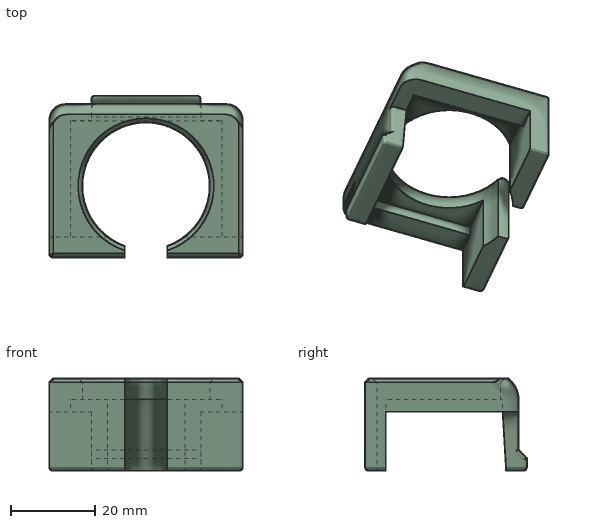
import cadquery as cq
import math

WIDTH = 46.0
HEIGHT = 22.0
FRONT_Y = -17.0
BACK_Y = 19.5
EDGE_SIZE = 1.0

BACK_CHAMFER = 2.5
BACK_BLEND_RADIUS = 6.0
BLEND_ANGLE = math.radians(45)
BACK_CORNER_RADIUS = 4.0

PLATE_THICKNESS = 5.0
WALL_THICKNESS = 5.0
SKIRT_HEIGHT = 8.0
BACK_WALL_THICKNESS = 4.0

BORE_RADIUS = 15.1
BORE_CHAMFER = 1.0
GAP_WIDTH = 10.0

CLIP_WIDTH = 26.0
CLIP_TIP_THICKNESS = 3.0
HOOK_REACH = 2.0
HOOK_LIP_HEIGHT = 3.0

PLATE_Z = HEIGHT - PLATE_THICKNESS
SKIRT_Z = HEIGHT - SKIRT_HEIGHT
LEG_BACK_Y = FRONT_Y + WALL_THICKNESS
CLIP_TIP_INNER = (BACK_Y - CLIP_TIP_THICKNESS, 0)
CLIP_ROOT_INNER = (BACK_Y - BACK_WALL_THICKNESS, PLATE_Z)
CAVITY_WIDTH = WIDTH - 2 * WALL_THICKNESS
BODY_MID_Y = (FRONT_Y + BACK_Y) / 2
BODY_DEPTH = BACK_Y - FRONT_Y


def block(width, y_min, y_max, z_min, z_max):
    """Box centred on X = 0 between the given Y and Z limits."""
    return (
        cq.Workplane("XY")
        .box(width, y_max - y_min, z_max - z_min, centered=(True, False, False))
        .translate((0, y_min, z_min))
    )


def side_profile(outline, width):
    """Close a YZ outline and extrude it symmetrically about X = 0."""
    return outline.close().extrude(width / 2, both=True)


def body_blank():
    """Solid block whose back top edge is a 45 degree chamfer blended into the back face."""
    half_angle = BLEND_ANGLE / 2
    tangent_length = BACK_BLEND_RADIUS * math.tan(half_angle)
    blend_start_z = HEIGHT - BACK_CHAMFER - tangent_length
    blend_center_y = BACK_Y - BACK_BLEND_RADIUS

    def blend_point(angle):
        return (
            blend_center_y + BACK_BLEND_RADIUS * math.cos(angle),
            blend_start_z + BACK_BLEND_RADIUS * math.sin(angle),
        )

    profile = (
        cq.Workplane("YZ")
        .moveTo(FRONT_Y, 0)
        .lineTo(BACK_Y, 0)
        .lineTo(BACK_Y, blend_start_z)
        .threePointArc(blend_point(half_angle), blend_point(BLEND_ANGLE))
        .lineTo(BACK_Y - BACK_CHAMFER, HEIGHT)
        .lineTo(FRONT_Y, HEIGHT)
    )
    return side_profile(profile, WIDTH)


def cut_top_chamfers(body):
    """Bevel the side and front edges of the top face, with a cone at each rounded front corner."""
    side_x = WIDTH / 2
    side_bevel = (
        cq.Workplane("XZ")
        .polyline([(side_x, HEIGHT - EDGE_SIZE), (side_x, HEIGHT), (side_x - EDGE_SIZE, HEIGHT)])
        .close()
        .extrude(BODY_DEPTH / 2, both=True)
        .translate((0, BODY_MID_Y, 0))
    )
    front_bevel = side_profile(
        cq.Workplane("YZ").polyline(
            [(FRONT_Y, HEIGHT - EDGE_SIZE), (FRONT_Y, HEIGHT), (FRONT_Y + EDGE_SIZE, HEIGHT)]
        ),
        WIDTH,
    )
    corner_cone = cq.Solid.makeCone(
        EDGE_SIZE, 0, EDGE_SIZE, pnt=(side_x - EDGE_SIZE, FRONT_Y + EDGE_SIZE, HEIGHT - EDGE_SIZE)
    )
    corner_bevel = (
        cq.Workplane("XY")
        .box(EDGE_SIZE, EDGE_SIZE, EDGE_SIZE, centered=False)
        .translate((side_x - EDGE_SIZE, FRONT_Y, HEIGHT - EDGE_SIZE))
        .cut(cq.Workplane(corner_cone))
    )
    body = body.cut(front_bevel)
    for bevel in (side_bevel, corner_bevel):
        body = body.cut(bevel).cut(bevel.mirror("YZ"))
    return body


def outer_body():
    """Block with all its outside edges rounded or bevelled."""
    body = body_blank()
    body = body.edges("|Z and >Y").fillet(BACK_CORNER_RADIUS)
    body = body.edges("|Z and <Y").fillet(EDGE_SIZE)
    body = body.faces("<Z").edges().fillet(EDGE_SIZE)
    return cut_top_chamfers(body)


def hollow(body):
    """Open the underside, leaving the plate, front legs, side skirts and tapered back wall."""
    below_skirts = block(WIDTH, LEG_BACK_Y, BACK_Y, 0, SKIRT_Z)
    cavity = side_profile(
        cq.Workplane("YZ").polyline(
            [(LEG_BACK_Y, 0), CLIP_TIP_INNER, CLIP_ROOT_INNER, (LEG_BACK_Y, PLATE_Z)]
        ),
        CAVITY_WIDTH,
    )
    return body.cut(below_skirts).cut(cavity)


def snap_clip():
    """Tapered tongue with an outward hook; its inner face slopes so that it thins towards the tip."""
    hook_y = BACK_Y + HOOK_REACH
    profile = (
        cq.Workplane("YZ")
        .moveTo(*CLIP_TIP_INNER)
        .lineTo(hook_y, 0)
        .lineTo(hook_y, HOOK_LIP_HEIGHT)
        .lineTo(BACK_Y, HOOK_LIP_HEIGHT + HOOK_REACH)
        .lineTo(BACK_Y, PLATE_Z)
        .lineTo(*CLIP_ROOT_INNER)
    )
    clip = side_profile(profile, CLIP_WIDTH)
    side_edges = clip.edges("(not |X) and (>X or <X)").edges(
        cq.selectors.BoxSelector(
            (-CLIP_WIDTH, BACK_Y - EDGE_SIZE, EDGE_SIZE),
            (CLIP_WIDTH, hook_y + EDGE_SIZE, PLATE_Z - EDGE_SIZE),
        )
    )
    clip = side_edges.fillet(EDGE_SIZE)
    return clip.faces("<Z").edges("not <Y").fillet(EDGE_SIZE)


def cut_ring_opening(body):
    """Bore the round opening, bevel its top rim and open it to the front."""
    bore = cq.Workplane("XY").circle(BORE_RADIUS).extrude(HEIGHT)
    rim = (
        cq.Workplane("XY", origin=(0, 0, HEIGHT))
        .circle(BORE_RADIUS + BORE_CHAMFER)
        .workplane(offset=-BORE_CHAMFER)
        .circle(BORE_RADIUS)
        .loft(ruled=True)
    )
    gap = block(GAP_WIDTH, FRONT_Y, 0, 0, HEIGHT)
    return body.cut(bore).cut(rim).cut(gap)


ring_body = cut_ring_opening(hollow(outer_body()))
result = ring_body.union(snap_clip())